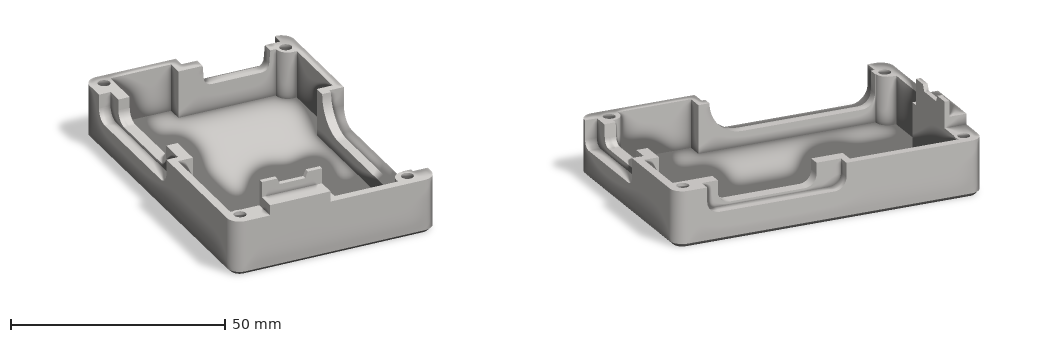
import cadquery as cq

length = 79.5
width = 53.0
rim_z = 14.3
floor_z = 2.1
corner_radius = 3.25
base_chamfer = 1.0

thin_wall = 2.1
thick_wall = 6.0
recess_depth = 3.0
right_pad = 5.65
front_thick_end_x = 45.9
left_thick_start_y = 21.7
right_pad_top_y = 27.35
rear_thick_start_x = 27.9
rear_thick_face_y = 46.9

hole_diameter = 3.0
boss_diameter = 4.5
post_radius = 3.0
left_post_face_y = 47.0
right_post_face_y = 43.8
left_post_face_x = thick_wall + post_radius
right_post_face_x = 73.5
hole_inset = 3.6
rear_left_hole = (6.1, 49.45)
rear_right_hole = (length - hole_inset, 47.0)
front_right_hole = (length - hole_inset, hole_inset)
front_left_hole = (hole_inset, hole_inset)
holes = [rear_left_hole, rear_right_hole, front_right_hole, front_left_hole]

front_recess_x = (8.2, 44.05)
front_recess_z = 7.6
front_opening_x = (12.3, 37.8)
front_opening_z = 8.4
front_notch_radius = 3.0

left_recess_y = (23.9, 49.6)
left_recess_z = 7.4
left_opening_y = (28.0, 45.55)
left_opening_z = 9.0
left_opening_draft = 0.5
left_notch_radius = 2.0

rear_recess_x = (29.8, 74.3)
rear_recess_z = 4.9
rear_notch_radius = 4.4
rear_recess_face_y = 49.2
rear_step = 0.95
rear_opening_x = (rear_recess_x[0] + rear_step, rear_recess_x[1] - rear_step)
rear_opening_z = rear_recess_z + rear_step
rear_opening_right_radius = rear_notch_radius - rear_step
rear_opening_left_radius = rim_z - rear_opening_z

clip_y = (9.6, 25.3)
clip_step_z = 17.0
clip_top_z = 21.0
clip_blade = 1.2
clip_notch_depth = 1.6
clip_notch_top_y = (13.7, 21.55)
clip_notch_slant = 0.6


def block(x, y, z):
    """Box between the given (low, high) limits."""
    size = [high - low for low, high in (x, y, z)]
    return cq.Workplane("XY").box(*size, centered=False).translate((x[0], y[0], z[0]))


def notch(plane, depth, span, bottom_z, radii, draft=0.0):
    """Cutter open at the rim, with two rounded lower corners.

    plane is "XZ" for the front and rear walls or "YZ" for the left wall,
    depth is the (start, end) range across the wall, span the range along it.
    """
    low, high = span
    start, end = depth
    outline = (
        cq.Workplane(plane)
        .moveTo(low, clip_top_z)
        .lineTo(low, rim_z)
        .lineTo(low + draft, bottom_z)
        .lineTo(high - draft, bottom_z)
        .lineTo(high, rim_z)
        .lineTo(high, clip_top_z)
        .close()
    )
    if plane == "XZ":
        cutter = outline.extrude(start - end).translate((0, start, 0))
        low_edge, high_edge = "<X", ">X"
        across = "|Y"
    else:
        cutter = outline.extrude(end - start).translate((start, 0, 0))
        low_edge, high_edge = "<Y", ">Y"
        across = "|X"
    for side, radius in zip((low_edge, high_edge), radii):
        cutter = cutter.faces("<Z").edges(across).edges(side).fillet(radius)
    return cutter


def make_shell():
    return (
        block((0, length), (0, width), (0, rim_z))
        .edges("|Z").fillet(corner_radius)
        .faces("<Z").chamfer(base_chamfer)
    )


def make_cavity():
    """Interior space: thin-walled rectangle minus the thick wall stretches and screw posts."""
    heights = (floor_z, rim_z)
    cavity = block((thin_wall, length - thin_wall), (thin_wall, width - thin_wall), heights)

    front_pad = block((0, front_thick_end_x), (0, thick_wall), heights)
    left_pad = block((0, thick_wall), (left_thick_start_y, width), heights)
    rear_pad = block((rear_thick_start_x, length), (rear_thick_face_y, width), heights)
    clip_pad = block((length - right_pad, length), (0, right_pad_top_y), heights)
    left_post = (
        block((0, left_post_face_x), (left_post_face_y, width), heights)
        .edges("|Z and >X and <Y").fillet(post_radius)
    )
    right_post = (
        block((right_post_face_x, length), (right_post_face_y, width), heights)
        .edges("|Z and <X and <Y").fillet(post_radius)
    )
    front_right_boss = (
        cq.Workplane("XY", origin=(0, 0, floor_z))
        .center(*front_right_hole)
        .circle(boss_diameter / 2)
        .extrude(rim_z - floor_z)
    )
    for solid in (front_pad, left_pad, rear_pad, clip_pad, left_post, right_post, front_right_boss):
        cavity = cavity.cut(solid)
    return cavity


def make_notches():
    """Stepped cable notches: a wide recess outside and a smaller opening inside."""
    outer = (0, recess_depth)
    inner = (recess_depth, thick_wall)
    front_radii = (front_notch_radius, front_notch_radius)
    left_radii = (left_notch_radius, left_notch_radius)
    rear_radii = (rear_notch_radius, rear_notch_radius)
    rear_opening_radii = (rear_opening_left_radius, rear_opening_right_radius)
    rear_outer = (rear_recess_face_y, width)
    rear_inner = (rear_thick_face_y, rear_recess_face_y)
    return [
        notch("XZ", outer, front_recess_x, front_recess_z, front_radii),
        notch("XZ", inner, front_opening_x, front_opening_z, front_radii),
        notch("YZ", outer, left_recess_y, left_recess_z, left_radii),
        notch("YZ", inner, left_opening_y, left_opening_z, left_radii, left_opening_draft),
        notch("XZ", rear_outer, rear_recess_x, rear_recess_z, rear_radii),
        notch("XZ", rear_inner, rear_opening_x, rear_opening_z, rear_opening_radii),
    ]


def make_clip():
    """Step on the right wall carrying a thin blade with a tapered notch in its top."""
    inner_x = length - right_pad
    step = block((inner_x, length), clip_y, (floor_z, clip_step_z))
    blade = block((inner_x, inner_x + clip_blade), clip_y, (floor_z, clip_top_z))
    low, high = clip_notch_top_y
    notch_z = clip_top_z - clip_notch_depth
    blade_notch = (
        cq.Workplane("YZ", origin=(inner_x, 0, 0))
        .moveTo(low, clip_top_z)
        .lineTo(low + clip_notch_slant, notch_z)
        .lineTo(high - clip_notch_slant, notch_z)
        .lineTo(high, clip_top_z)
        .close()
        .extrude(clip_blade)
    )
    return step.union(blade).cut(blade_notch)


def make_screw_holes():
    return (
        cq.Workplane("XY")
        .pushPoints(holes)
        .circle(hole_diameter / 2)
        .extrude(rim_z)
    )


result = make_shell().cut(make_cavity())
for cutter in make_notches():
    result = result.cut(cutter)
result = result.union(make_clip()).cut(make_screw_holes())